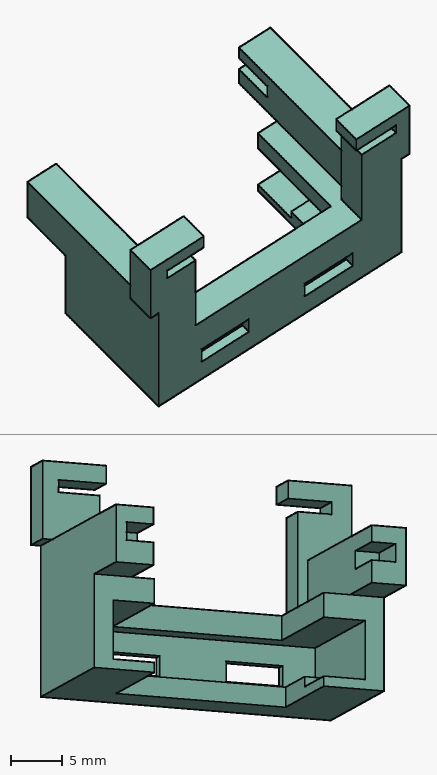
import cadquery as cq

WALL = 1.0
BODY_HALF_WIDTH = 15.08
BODY_LENGTH = 14.53
ARM_LENGTH = 20.45
POST_THICKNESS = 3.15

FLOOR_TOP = 2 * WALL
CAVITY_TOP = 6.85
DECK_TOP = 9.3
ARM_TOP = 15.0
POST_TOP = 22.8

CAVITY_HALF_WIDTH = BODY_HALF_WIDTH - 2 * WALL
OPENING_HALF_WIDTH = 8.8
FLOOR_DEPTH = POST_THICKNESS + WALL
STEP_DISTANCE = 9.35

WINDOWS = [(-9.7, -3.85), (3.05, 9.05)]
WINDOW_BOTTOM = 2.8
WINDOW_TOP = 4.82

ARM_SLOT_LENGTH = 4.4
ARM_SLOT_OUTER = 14.0
ARM_SLOT_BOTTOM = 11.55
ARM_SLOT_TOP = 13.35

POST_OUTER = 16.08
HOOK_TIP = 9.45
HOOK_SLOT_BOTTOM = 19.77
HOOK_SLOT_TOP = 21.0

SIDES = [(1, 11.15, 10.13, 14.4), (-1, 11.5, 10.48, 14.0)]


def block(x_range, y_range, z_range):
    """Box between two limits along each axis; the limits may come in either order."""
    limits = [sorted(r) for r in (x_range, y_range, z_range)]
    sizes = [high - low for low, high in limits]
    corner = tuple(low for low, high in limits)
    return cq.Workplane("XY").box(*sizes, centered=False).translate(corner)


def symmetric(half_width):
    return (-half_width, half_width)


def make_body():
    body = block((-BODY_LENGTH, 0), symmetric(BODY_HALF_WIDTH), (0, DECK_TOP))
    cavity_width = symmetric(CAVITY_HALF_WIDTH)
    opening_width = symmetric(OPENING_HALF_WIDTH)

    body = body.cut(block((-BODY_LENGTH, -WALL), cavity_width, (FLOOR_TOP, CAVITY_TOP)))
    body = body.cut(block((-BODY_LENGTH, -STEP_DISTANCE), cavity_width, (WALL, FLOOR_TOP)))

    body = body.cut(block((-BODY_LENGTH, -FLOOR_DEPTH), opening_width, (0, FLOOR_TOP)))
    body = body.cut(block((-BODY_LENGTH, -POST_THICKNESS), opening_width, (CAVITY_TOP, DECK_TOP)))

    for window in WINDOWS:
        body = body.cut(block((-WALL, 0), window, (WINDOW_BOTTOM, WINDOW_TOP)))
    return body


def make_arm(side, inner):
    arm = block((-ARM_LENGTH, 0), (side * inner, side * BODY_HALF_WIDTH), (DECK_TOP, ARM_TOP))
    slot = block(
        (-ARM_LENGTH, ARM_SLOT_LENGTH - ARM_LENGTH),
        (side * inner, side * ARM_SLOT_OUTER),
        (ARM_SLOT_BOTTOM, ARM_SLOT_TOP),
    )
    return arm.cut(slot)


def make_post(side, inner, slot_end):
    outline = [
        (inner, DECK_TOP),
        (BODY_HALF_WIDTH, DECK_TOP),
        (BODY_HALF_WIDTH, ARM_TOP),
        (POST_OUTER, ARM_TOP),
        (POST_OUTER, POST_TOP),
        (HOOK_TIP, POST_TOP),
        (HOOK_TIP, HOOK_SLOT_TOP),
        (slot_end, HOOK_SLOT_TOP),
        (slot_end, HOOK_SLOT_BOTTOM),
        (inner, HOOK_SLOT_BOTTOM),
    ]
    points = [(side * y, z) for y, z in outline]
    return cq.Workplane("YZ").polyline(points).close().extrude(-POST_THICKNESS)


result = make_body()
for side, arm_inner, post_inner, slot_end in SIDES:
    result = result.union(make_arm(side, arm_inner))
    result = result.union(make_post(side, post_inner, slot_end))
result = result.clean()